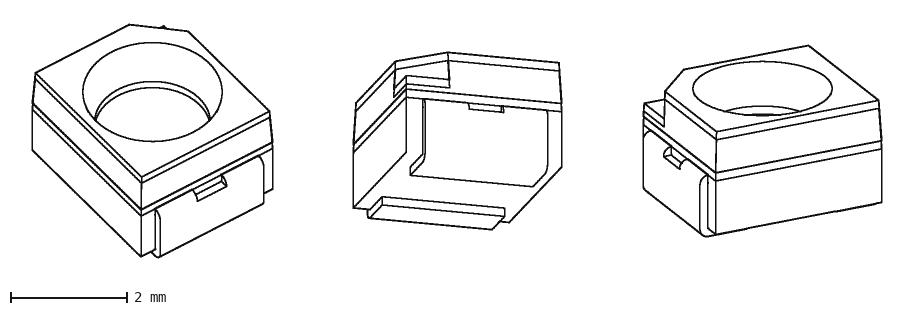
import cadquery as cq

overall_length = 3.5
sheet = 0.15

base_length = overall_length - 2 * sheet
base_width = 2.8
base_height = 1.0
base_bottom = sheet
base_top = base_bottom + base_height

upper_height = 0.75
draft_angle = 3.0
corner_leg = 0.8
corner_depth = 0.5
cup_floor_diameter = 2.0
cup_mouth_diameter = 2.4

lead_width = 2.2
foot_length = 0.9
tab_length = 2 * sheet
bend_inner_radius = 0.01
bend_outer_radius = bend_inner_radius + sheet
notch_width = 0.62

wall_x = base_length / 2
outer_x = overall_length / 2


def block(x_min, x_max, width, z_min, z_max):
    """Box from x_min to x_max and z_min to z_max, centred on Y."""
    return cq.Workplane().box(
        x_max - x_min, width, z_max - z_min, centered=(False, True, False)
    ).translate((x_min, 0, z_min))


def make_left_lead():
    """Bent sheet: a foot under the base, a plate up its wall and two tabs going into it."""
    foot_end = -outer_x + foot_length
    tab_end = -outer_x + tab_length
    bends = "|Y and <X"

    outside = block(-outer_x, foot_end, lead_width, 0, base_top)
    outside = outside.edges(bends).fillet(bend_outer_radius)
    inside = block(-wall_x, foot_end, lead_width, base_bottom, base_top - sheet)
    inside = inside.edges(bends).fillet(bend_inner_radius)
    beyond_tabs = block(tab_end, foot_end, lead_width, base_bottom, base_top)
    notch = block(-outer_x, foot_end, notch_width, base_top - bend_outer_radius, base_top)

    return outside.cut(inside).cut(beyond_tabs).cut(notch)


def make_leads():
    """The left lead and its copy turned half a turn about Z."""
    left_lead = make_left_lead()
    return [left_lead.rotate((0, 0, 0), (0, 0, 1), angle) for angle in (0, 180)]


def make_base(leads):
    """Plain block, rounded inside the lower bends, with slots that hold the lead tabs."""
    base = block(-wall_x, wall_x, base_width, base_bottom, base_top)
    base = base.edges("|Y and <Z").fillet(bend_inner_radius)
    for lead in leads:
        base = base.cut(lead)
    return base


def make_drafted_shape(bottom):
    """Drafted frame with a conical cup through it and one corner cut away."""
    half_width = base_width / 2
    frame = (
        cq.Workplane()
        .workplane(offset=bottom)
        .rect(base_length, base_width)
        .extrude(upper_height, taper=draft_angle)
    )
    corner = (
        cq.Workplane()
        .workplane(offset=bottom + upper_height - corner_depth)
        .polyline([
            (-wall_x, half_width),
            (-wall_x + corner_leg, half_width),
            (-wall_x, half_width - corner_leg),
        ])
        .close()
        .extrude(corner_depth)
    )
    cup = cq.Solid.makeCone(
        cup_floor_diameter / 2, cup_mouth_diameter / 2, upper_height, cq.Vector(0, 0, bottom)
    )
    return frame.cut(corner).cut(cq.Workplane(obj=cup))


def make_cover(upper_body):
    """The shape of the upper body one step higher, hollowed to fit over it."""
    return make_drafted_shape(base_top + sheet).cut(upper_body)


leads = make_leads()
base = make_base(leads)
upper_body = make_drafted_shape(base_top)
cover = make_cover(upper_body)

result = cq.Compound.makeCompound([
    base.solids().val(),
    upper_body.solids().val(),
    cover.solids().val(),
    *[lead.solids().val() for lead in leads],
])